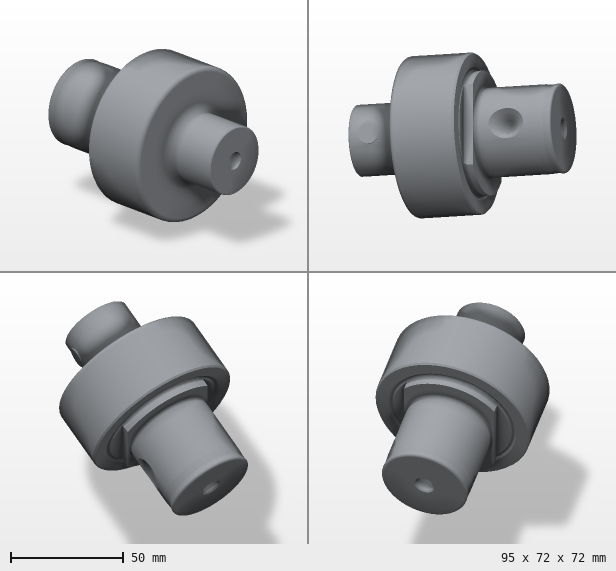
import cadquery as cq
import math

total_length = 95.0

shank_radius = 19.95
shank_tip_fillet = 1.1
groove_start = 3.2
groove_end = 3.6
groove_taper_end = 6.9
groove_radius = 19.7
relief_start = 33.5
relief_radius = 19.8

flange_start = 35.5
flange_radius = 27.7
flange_chamfer_start = 38.1
flange_chamfer_length = 0.9
neck_radius = 27.4
flat_half_width = 21.0
shank_fillet = 1.0

disc_start = 39.8
disc_end = 70.0
disc_radius = 36.0
disc_chamfer_length = 0.9
disc_chamfer_height = 0.6
disc_back_fillet = 2.1
ring_groove_depth = 0.8
ring_groove_wall_width = 1.1
ring_groove_fillet = 1.1
ring_groove_radius = neck_radius + ring_groove_fillet
ring_groove_mouth_radius = ring_groove_radius + ring_groove_wall_width

stem_radius = 16.0
stem_root_fillet = 4.0
stem_end_chamfer = 0.5

bore_radius = 4.1
bore_chamfer = 0.7

seat_x = 20.6
seat_radius = 8.0

plug_x = 85.7
plug_radius = 4.75
plug_inner_end = 5.7

diagonal = math.sqrt(0.5)


def quarter_arc_middle(center_x, center_radius, fillet, x_side, radius_side):
    """Middle point of a quarter arc lying on the given sides of its center."""
    reach = fillet * diagonal
    return center_x + x_side * reach, center_radius + radius_side * reach


def turned_body():
    """Shank, flange, disc and stem, revolved about the X axis."""
    tip_radius = shank_radius - shank_tip_fillet
    tip_middle = quarter_arc_middle(shank_tip_fillet, tip_radius, shank_tip_fillet, -1, 1)

    fillet_start = flange_start - shank_fillet
    fillet_top = relief_radius + shank_fillet
    shank_middle = quarter_arc_middle(fillet_start, fillet_top, shank_fillet, 1, -1)

    ring_floor = disc_start + ring_groove_depth
    ring_fillet_start = ring_floor - ring_groove_fillet
    ring_middle = quarter_arc_middle(ring_fillet_start, ring_groove_radius, ring_groove_fillet, 1, -1)

    rim_start = disc_end - disc_back_fillet
    rim_radius = disc_radius - disc_back_fillet
    rim_middle = quarter_arc_middle(rim_start, rim_radius, disc_back_fillet, 1, 1)

    root_end = disc_end + stem_root_fillet
    root_radius = stem_radius + stem_root_fillet
    root_middle = quarter_arc_middle(root_end, root_radius, stem_root_fillet, -1, -1)

    profile = (
        cq.Workplane("XY")
        .moveTo(0, 0)
        .lineTo(0, tip_radius)
        .threePointArc(tip_middle, (shank_tip_fillet, shank_radius))
        .lineTo(groove_start, groove_radius)
        .lineTo(groove_end, groove_radius)
        .lineTo(groove_taper_end, shank_radius)
        .lineTo(relief_start, shank_radius)
        .lineTo(fillet_start, relief_radius)
        .threePointArc(shank_middle, (flange_start, fillet_top))
        .lineTo(flange_start, flange_radius)
        .lineTo(flange_chamfer_start, flange_radius)
        .lineTo(flange_chamfer_start + flange_chamfer_length, neck_radius)
        .lineTo(ring_fillet_start, neck_radius)
        .threePointArc(ring_middle, (ring_floor, ring_groove_radius))
        .lineTo(disc_start, ring_groove_mouth_radius)
        .lineTo(disc_start, disc_radius - disc_chamfer_height)
        .lineTo(disc_start + disc_chamfer_length, disc_radius)
        .lineTo(rim_start, disc_radius)
        .threePointArc(rim_middle, (disc_end, rim_radius))
        .lineTo(disc_end, root_radius)
        .threePointArc(root_middle, (root_end, stem_radius))
        .lineTo(total_length - stem_end_chamfer, stem_radius)
        .lineTo(total_length, stem_radius - stem_end_chamfer)
        .lineTo(total_length, 0)
        .close()
    )
    return profile.revolve(360, (0, 0, 0), (1, 0, 0))


def flat_cutters():
    """Blocks that cut the two flats at +Y and -Y on the flange, as far as the disc face."""
    length = disc_start - flange_start
    depth = flange_radius - flat_half_width
    center_y = flat_half_width + depth / 2
    return (
        cq.Workplane("XY")
        .pushPoints([(flange_start + length / 2, side * center_y) for side in (-1, 1)])
        .box(length, depth, 2 * flange_radius)
    )


def bore_cutter():
    """Through bore, chamfered at the shank end."""
    profile = (
        cq.Workplane("XY")
        .moveTo(0, 0)
        .lineTo(0, bore_radius + bore_chamfer)
        .lineTo(bore_chamfer, bore_radius)
        .lineTo(total_length, bore_radius)
        .lineTo(total_length, 0)
        .close()
    )
    return profile.revolve(360, (0, 0, 0), (1, 0, 0))


def seat_cutter():
    """Right-angled cone pointing toward the axis from the +Y side of the shank."""
    cone = cq.Solid.makeCone(
        seat_radius, 0, seat_radius, cq.Vector(seat_x, shank_radius, 0), cq.Vector(0, -1, 0)
    )
    return cq.Workplane(cone)


def make_plug():
    """Flat-ended cylinder reaching out to the stem surface."""
    cylinder = cq.Solid.makeCylinder(
        plug_radius,
        stem_radius - plug_inner_end,
        cq.Vector(plug_x, plug_inner_end, 0),
        cq.Vector(0, 1, 0),
    )
    return cq.Workplane(cylinder)


def make_holder(plug_body):
    """Turned body with its flats, bore, seat and the recess for the plug."""
    return (
        turned_body()
        .cut(flat_cutters())
        .cut(bore_cutter())
        .cut(seat_cutter())
        .cut(plug_body)
    )


plug = make_plug()
holder = make_holder(plug)

result = cq.Compound.makeCompound([holder.val(), plug.val()])